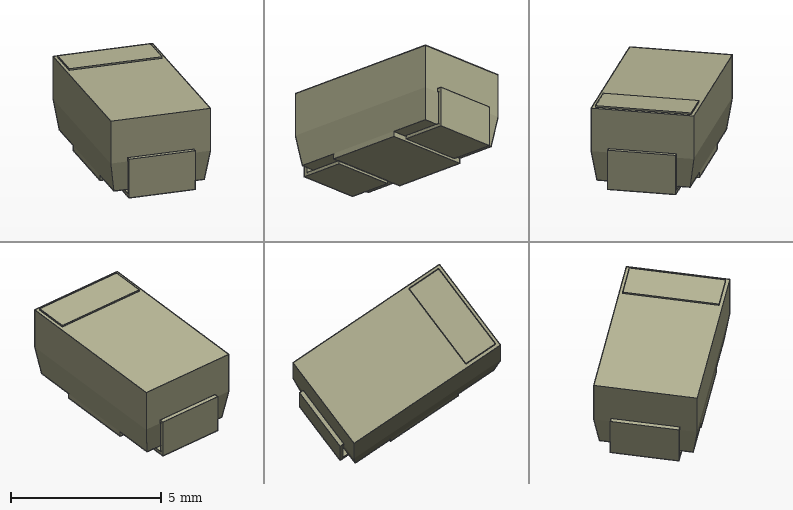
import cadquery as cq

overall_length = 6.3
overall_height = 2.85
sheet = 0.12

housing_length = 6.0
housing_width = 3.51
taper_inset = 0.165
parting_height = 1.255
standoff = 0.18
pad_length = 2.78

mark_thickness = 0.055
mark_length = 1.215
mark_margin = 0.12

lead_width = 2.33
lead_height = 1.4
foot_length = 1.605

housing_top = overall_height - mark_thickness
base_length = housing_length - 2 * taper_inset
base_width = housing_width - 2 * taper_inset


def make_housing():
    """Housing centred on X and Y, with the pad standing on Z = 0."""
    upper = (
        cq.Workplane("XY", origin=(0, 0, parting_height))
        .rect(housing_length, housing_width)
        .extrude(housing_top - parting_height)
    )
    lower = (
        cq.Workplane("XY", origin=(0, 0, standoff))
        .rect(base_length, base_width)
        .workplane(offset=parting_height - standoff)
        .rect(housing_length, housing_width)
        .loft(ruled=True)
    )
    pad = cq.Workplane("XY").rect(pad_length, base_width).extrude(standoff)
    return upper.union(lower).union(pad)


def make_mark():
    """Thin bar lying on the top face near the -X end."""
    center_x = -housing_length / 2 + mark_margin + mark_length / 2
    return (
        cq.Workplane("XY", origin=(center_x, 0, housing_top))
        .rect(mark_length, housing_width - 2 * mark_margin)
        .extrude(mark_thickness)
    )


def make_lead(side):
    """C-shaped lead at the end given by side (-1 or +1); its short top arm meets the housing."""
    outer = side * overall_length / 2
    inner = outer - side * sheet
    housing_end = side * housing_length / 2
    foot_end = outer - side * foot_length
    arm_bottom = lead_height - sheet
    profile = [
        (outer, 0),
        (outer, lead_height),
        (housing_end, lead_height),
        (housing_end, arm_bottom),
        (inner, arm_bottom),
        (inner, sheet),
        (foot_end, sheet),
        (foot_end, 0),
    ]
    return cq.Workplane("XZ").polyline(profile).close().extrude(lead_width / 2, both=True)


housing = make_housing()
mark = make_mark()
leads = [make_lead(side) for side in (-1, 1)]

result = cq.Compound.makeCompound([housing.val(), mark.val(), *[lead.val() for lead in leads]])